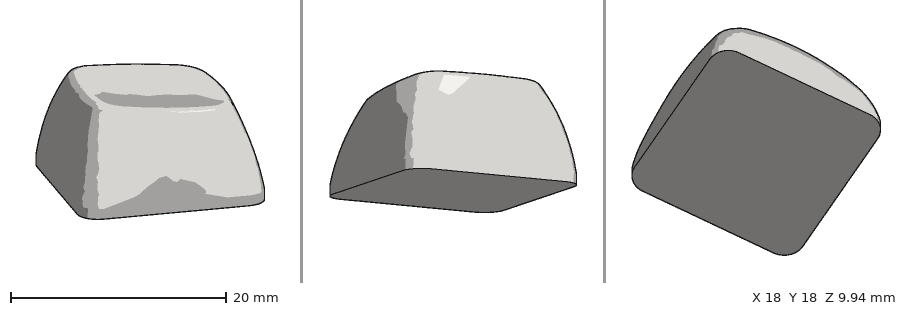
import cadquery as cq
import math

base_width = 18.0
base_corner_radius = 2.0
skirt_height = 1.0

top_width = 13.95
top_side_radius = 21.0
top_corner_radius = 3.1
top_centre_height = 9.47
top_tilt = 5.0

middle_fraction = 0.5
middle_side_radius = 50.0
middle_corner_radius = 2.0
middle_height = skirt_height + middle_fraction * (top_centre_height - skirt_height)
middle_width = base_width - middle_fraction**2 * (base_width - top_width)

dish_depth = 0.8
rim_radius = 0.95

ORIGIN = cq.Vector(0, 0, 0)
X_AXIS = cq.Vector(1, 0, 0)
Z_AXIS = cq.Vector(0, 0, 1)


def closed_by_quarter_turns(edges):
    """Join a quarter of an outline and its three turned copies into one closed wire."""
    turned = [edge.rotate(ORIGIN, Z_AXIS, 90 * turn) for turn in range(4) for edge in edges]
    return cq.Wire.assembleEdges(turned)


def straight_square(width, corner_radius):
    """Square outline with straight sides, each split at its middle, and round corners."""
    half = width / 2
    straight = half - corner_radius
    corner_mid = straight + corner_radius * math.sqrt(0.5)
    side_start = cq.Vector(half, 0)
    corner_start = cq.Vector(half, straight)
    corner_end = cq.Vector(straight, half)
    return closed_by_quarter_turns([
        cq.Edge.makeLine(side_start, corner_start),
        cq.Edge.makeThreePointArc(corner_start, cq.Vector(corner_mid, corner_mid), corner_end),
        cq.Edge.makeLine(corner_end, cq.Vector(0, half)),
    ])


def bowed_square(width, side_radius, corner_radius):
    """Square outline with convex sides, each split at its middle, and tangent round corners."""
    half = width / 2
    side_centre = half - side_radius
    reach = side_radius - corner_radius
    corner_centre = (side_centre + math.sqrt(2 * reach**2 - side_centre**2)) / 2
    corner_mid = corner_centre + corner_radius * math.sqrt(0.5)
    bow_angle = math.atan2(corner_centre, corner_centre - side_centre)

    def on_side(angle):
        return side_centre + side_radius * math.cos(angle), side_radius * math.sin(angle)

    side_mid_x, side_mid_y = on_side(bow_angle / 2)
    side_end_x, side_end_y = on_side(bow_angle)
    corner_start = cq.Vector(side_end_x, side_end_y)
    corner_end = cq.Vector(side_end_y, side_end_x)
    return closed_by_quarter_turns([
        cq.Edge.makeThreePointArc(cq.Vector(half, 0), cq.Vector(side_mid_x, side_mid_y), corner_start),
        cq.Edge.makeThreePointArc(corner_start, cq.Vector(corner_mid, corner_mid), corner_end),
        cq.Edge.makeThreePointArc(corner_end, cq.Vector(side_mid_y, side_mid_x), cq.Vector(0, half)),
    ])


def raised(shape, height, tilt=0):
    """Lift a shape along Z and tilt it so that its -Y side is the higher one."""
    return shape.moved(cq.Location(cq.Vector(0, 0, height), X_AXIS, -tilt))


def make_skirt():
    """Straight-sided band at the foot."""
    skirt = cq.Workplane("XY").rect(base_width, base_width).extrude(skirt_height)
    return skirt.edges("|Z").fillet(base_corner_radius)


def make_cap():
    """Tapering body above the skirt, closed by the dished top."""
    foot = raised(straight_square(base_width, base_corner_radius), skirt_height)
    middle = raised(
        bowed_square(middle_width, middle_side_radius, middle_corner_radius),
        middle_height,
        middle_fraction * top_tilt,
    )
    flat_top = bowed_square(top_width, top_side_radius, top_corner_radius)
    top = raised(flat_top, top_centre_height, top_tilt)
    loft = cq.Solid.makeLoft([foot, middle, top])
    walls = [face for face in loft.Faces() if face.geomType() != "PLANE"]

    floor = cq.Face.makeFromWires(foot)
    dish = cq.Face.makeNSidedSurface(flat_top.Edges(), [cq.Vector(0, 0, -dish_depth)])
    dish = raised(dish, top_centre_height, top_tilt)
    cap = cq.Solid.makeSolid(cq.Shell.makeShell([floor, *walls, dish]))
    return cq.Workplane(cap)


def round_rim(body):
    """Round the edge between the walls and the dish."""
    dish_centre = (0, 0, top_centre_height - dish_depth)
    dish = body.faces(cq.selectors.NearestToPointSelector(dish_centre))
    return dish.edges().fillet(rim_radius)


keycap = make_skirt().union(make_cap())
result = round_rim(keycap)